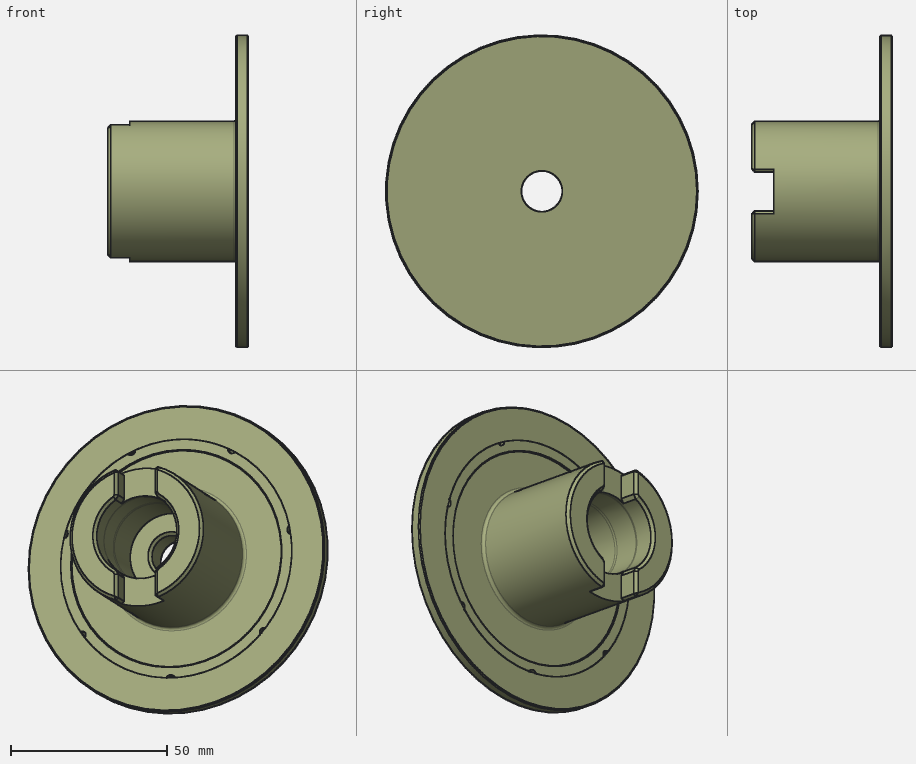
import cadquery as cq
total_length = 45.0
flange_diameter = 100.0
flange_thickness = 4.0
flange_edge_chamfer = 0.4
hub_diameter = 45.0
hub_root_fillet = 1.0
bore_diameter = 27.0
web_thickness = 10.0
through_hole_diameter = 13.0
edge_chamfer = 1.0

relief_start_x = 8.0
relief_end_x = 18.7
relief_depth = 0.1
relief_lead_in = 0.5
relief_lead_out = 0.9

slot_width = 12.4
slot_depth = 7.0

outer_recess_diameter = 78.0
outer_recess_depth = 0.1
inner_recess_diameter = 70.6
inner_recess_depth = 0.4
pocket_count = 7
pocket_radius = 1.5
pocket_depth = 2.0
pocket_center_offset = 0.5
pocket_circle_radius = outer_recess_diameter / 2 + pocket_center_offset
first_pocket_angle = 10.0

flange_face_x = total_length - flange_thickness
hub_root_x = flange_face_x + inner_recess_depth
bore_depth = total_length - web_thickness


def cylinder(start_x, length, diameter):
    """Solid cylinder on the X axis."""
    return cq.Workplane("YZ", origin=(start_x, 0, 0)).circle(diameter / 2).extrude(length)


def revolved(profile):
    """Solid of revolution about the X axis from (x, radius) points."""
    return cq.Workplane("XY").polyline(profile).close().revolve(360, (0, 0, 0), (1, 0, 0))


def bore_relief():
    """Shallow ring-shaped widening of the bore with tapered ends."""
    bore_radius = bore_diameter / 2
    relief_radius = bore_radius + relief_depth
    return revolved(
        [
            (relief_start_x, bore_radius),
            (relief_start_x + relief_lead_in, relief_radius),
            (relief_end_x - relief_lead_out, relief_radius),
            (relief_end_x, bore_radius),
        ]
    )


def hub_with_jaws():
    """Bored hub, slotted into two jaws with every jaw edge chamfered."""
    hub = cylinder(0, hub_root_x, hub_diameter)
    hub = hub.cut(cylinder(0, bore_depth, bore_diameter))
    slot = cq.Workplane("XY").box(slot_depth, slot_width, hub_diameter, centered=(False, True, True))
    hub = hub.cut(slot)
    tip_edges = hub.faces("<X").edges().vals()
    jaw_zone = cq.selectors.BoxSelector(
        (0, -slot_width, -hub_diameter),
        (slot_depth, slot_width, hub_diameter),
    )
    jaw_side_edges = hub.edges(jaw_zone).edges("|X").vals()
    return hub.newObject(tip_edges + jaw_side_edges).chamfer(edge_chamfer)


def recess_pockets():
    """Round pockets, cut off where they meet the outer recess wall."""
    pockets = (
        cq.Workplane("YZ", origin=(flange_face_x, 0, 0))
        .polarArray(pocket_circle_radius, 180 - first_pocket_angle, 360, pocket_count)
        .circle(pocket_radius)
        .extrude(pocket_depth)
    )
    return pockets.intersect(cylinder(flange_face_x, pocket_depth, outer_recess_diameter))


def recessed_flange():
    """Thin disc with chamfered rims, the stepped recess and its pockets."""
    flange = cylinder(flange_face_x, flange_thickness, flange_diameter)
    flange = flange.edges().chamfer(flange_edge_chamfer)
    flange = flange.cut(cylinder(flange_face_x, outer_recess_depth, outer_recess_diameter))
    step_x = flange_face_x + outer_recess_depth
    step_height = inner_recess_depth - outer_recess_depth
    inner_radius = inner_recess_diameter / 2
    inner_recess = revolved(
        [
            (step_x, 0),
            (step_x, inner_radius + step_height),
            (hub_root_x, inner_radius),
            (hub_root_x, 0),
        ]
    )
    return flange.cut(inner_recess).cut(recess_pockets())


def root_fillet_ring():
    """Concave ring that blends the hub into the flange face."""
    hub_radius = hub_diameter / 2
    return (
        cq.Workplane("XY")
        .moveTo(hub_root_x - hub_root_fillet, hub_radius)
        .radiusArc((hub_root_x, hub_radius + hub_root_fillet), -hub_root_fillet)
        .lineTo(hub_root_x, hub_radius)
        .close()
        .revolve(360, (0, 0, 0), (1, 0, 0))
    )


def through_hole():
    """Central hole from the bore floor to the back face, chamfered at the floor."""
    hole_radius = through_hole_diameter / 2
    return revolved(
        [
            (bore_depth, 0),
            (bore_depth, hole_radius + edge_chamfer),
            (bore_depth + edge_chamfer, hole_radius),
            (total_length, hole_radius),
            (total_length, 0),
        ]
    )


body = hub_with_jaws().union(recessed_flange()).union(root_fillet_ring())
result = body.cut(bore_relief()).cut(through_hole())